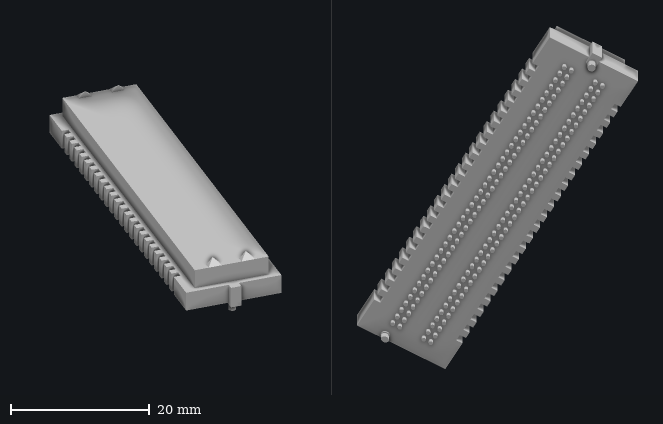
import cadquery as cq

overall_length = 56.65
base_width = 14.7
base_height = 2.95
tab_reach = 0.95
base_length = overall_length - tab_reach
top_margin_x = 0.85
top_length = base_length - 2 * top_margin_x
top_width = 11.4
top_height = 2.95

slot_count = 23
end_block_length = 5.0
slot_width = (base_length - 2 * end_block_length) / (2 * slot_count - 1)
slot_pitch = 2 * slot_width
slot_depth = 1.0

point_height = 1.0
point_spacing = 5.1

tab_width = 1.6
tab_drop = 0.3

pin_count = 40
pin_row_length = 49.55
pin_pitch = pin_row_length / (pin_count - 1)
pin_diameter = 0.6
pin_length = 0.7
pin_row_offsets = (2.0, 3.2)

collar_diameter = 1.3
collar_height = tab_drop
round_peg_diameter = 1.15
round_peg_length = 1.55
relieved_peg_length = 1.3
relieved_peg_width = 0.95
relieved_peg_y = -3.05

base_end_x = base_length / 2
top_end_x = top_length / 2
top_z = base_height + top_height


def block(length, width, height, bottom_z):
    """Box centred on the Z axis, standing on bottom_z."""
    return cq.Workplane("XY", origin=(0, 0, bottom_z)).rect(length, width).extrude(height)


def hanging_cylinders(points, diameter, length):
    """Cylinders running from inside the base to the given length below it."""
    start_z = base_height / 2
    return (
        cq.Workplane("XY", origin=(0, 0, start_z))
        .pushPoints(points)
        .circle(diameter / 2)
        .extrude(-(start_z + length))
    )


def side_slots():
    """Slots that divide both long sides of the base into teeth."""
    edge_y = base_width / 2
    slots = cq.Workplane("XY")
    for side in (-1, 1):
        slots = slots.add(
            cq.Workplane("XY", origin=(0, side * edge_y, base_height / 2))
            .rarray(slot_pitch, 0.55, slot_count, 1)
            .box(slot_width, 2 * slot_depth, base_height, combine=False)
        )
    return slots.combine()


def half_pyramid(end, y):
    """45-degree point whose vertical face looks toward the middle of the part."""
    outer_x = end * top_end_x
    inner_x = end * (top_end_x - point_height)
    corners = [
        cq.Vector(outer_x, y - point_height, top_z),
        cq.Vector(inner_x, y - point_height, top_z),
        cq.Vector(inner_x, y + point_height, top_z),
        cq.Vector(outer_x, y + point_height, top_z),
    ]
    apex = cq.Vector(inner_x, y, top_z + point_height)
    faces = [cq.Face.makeFromWires(cq.Wire.makePolygon(corners, close=True))]
    for start, finish in zip(corners, corners[1:] + corners[:1]):
        faces.append(cq.Face.makeFromWires(cq.Wire.makePolygon([start, finish, apex], close=True)))
    return cq.Workplane(obj=cq.Solid.makeSolid(cq.Shell.makeShell(faces)))


def key_tab():
    """Tab as tall as the base plus its drop, with its inner end buried in the base."""
    tab_length = 2 * tab_reach
    return block(tab_length, tab_width, base_height + tab_drop, -tab_drop).translate((base_end_x, 0, 0))


def contact_pins():
    """Rows of contact pins, mirrored about the long centre line."""
    first_x = -pin_row_length / 2
    points = []
    for offset in pin_row_offsets:
        for side in (-1, 1):
            points += [(first_x + i * pin_pitch, side * offset) for i in range(pin_count)]
    return hanging_cylinders(points, pin_diameter, pin_length)


def round_peg(x, y):
    """Collared peg with a full round section."""
    collar = hanging_cylinders([(x, y)], collar_diameter, collar_height)
    return collar.union(hanging_cylinders([(x, y)], round_peg_diameter, round_peg_length))


def relieved_peg(x, y):
    """Collared peg with a lens section, the overlap of two collar-sized cylinders."""
    offset = (collar_diameter - relieved_peg_width) / 2
    left_cylinder = hanging_cylinders([(x - offset, y)], collar_diameter, relieved_peg_length)
    right_cylinder = hanging_cylinders([(x + offset, y)], collar_diameter, relieved_peg_length)
    collar = hanging_cylinders([(x, y)], collar_diameter, collar_height)
    return collar.union(left_cylinder.intersect(right_cylinder))


body = block(base_length, base_width, base_height, 0).cut(side_slots())
body = body.union(block(top_length, top_width, top_height, base_height))
for end in (-1, 1):
    for side in (-1, 1):
        body = body.union(half_pyramid(end, side * point_spacing / 2))

peg_x = base_end_x - collar_diameter / 2
body = body.union(key_tab())
body = body.union(contact_pins())
body = body.union(round_peg(peg_x, 0))
body = body.union(relieved_peg(-peg_x, relieved_peg_y))

result = body